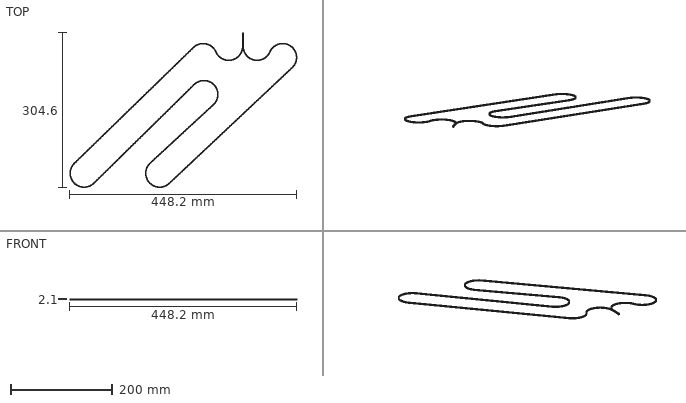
import cadquery as cq
import math

strip_width = 1.05
strip_height = 2.1
half_width = strip_width / 2
tail_width = 2 * strip_width

length_x = 448.2
length_y = 304.62

bend_radius = 27.5
outer_radius = bend_radius + half_width

tail_length = 26.1
crest_drop = 21.8
tail_top = length_y / 2
trough_y = tail_top - tail_length
crest_y = trough_y - crest_drop
crest_step = math.sqrt((2 * bend_radius) ** 2 - crest_drop**2)
trough_offset = bend_radius + half_width
crest_offset = trough_offset + crest_step
tail_x = length_x / 2 - outer_radius - crest_offset

finger_pitch = 149.25
finger_end_y = outer_radius - length_y / 2
left_finger_x = outer_radius - length_x / 2
right_finger_x = left_finger_x + finger_pitch
inner_bend_x = 40.65
inner_bend_y = 31.4

CLOCKWISE = -1
COUNTERCLOCKWISE = 1

right_trough = ((tail_x + trough_offset, trough_y), COUNTERCLOCKWISE)
right_crest = ((tail_x + crest_offset, crest_y), CLOCKWISE)
right_finger_end = ((right_finger_x, finger_end_y), CLOCKWISE)
inner_bend = ((inner_bend_x, inner_bend_y), COUNTERCLOCKWISE)
left_finger_end = ((left_finger_x, finger_end_y), CLOCKWISE)
left_crest = ((tail_x - crest_offset, crest_y), CLOCKWISE)
left_trough = ((tail_x - trough_offset, trough_y), COUNTERCLOCKWISE)

straight_joined_bends = [right_crest, right_finger_end, inner_bend, left_finger_end, left_crest]
bends = [right_trough] + straight_joined_bends + [left_trough]


def tangent_heading(bend, next_bend):
    """Direction of travel along the line tangent to two successive bends."""
    (x, y), turn = bend
    (next_x, next_y), next_turn = next_bend
    distance = math.hypot(next_x - x, next_y - y)
    sine = bend_radius * (turn - next_turn) / distance
    lean = math.asin(max(-1.0, min(1.0, sine)))
    return math.atan2(next_y - y, next_x - x) + lean


def point_on_bend(bend, heading, left_offset):
    """Point where travel round the bend has this heading, moved sideways to the left."""
    (x, y), turn = bend
    reach = turn * bend_radius - left_offset
    return (x + reach * math.sin(heading), y - reach * math.cos(heading))


def strip_sketch():
    """Workplane on the underside of the strip."""
    return cq.Workplane("XY").workplane(offset=-strip_height / 2)


def curved_strip(bend, entry, leaving):
    """Strip around one bend, between its entry and leaving headings."""
    turn = bend[1]
    sweep = turn * ((turn * (leaving - entry)) % (2 * math.pi))
    middle = entry + sweep / 2
    left = [point_on_bend(bend, heading, half_width) for heading in (entry, middle, leaving)]
    right = [point_on_bend(bend, heading, -half_width) for heading in (leaving, middle, entry)]
    return (
        strip_sketch()
        .moveTo(*left[0])
        .threePointArc(left[1], left[2])
        .lineTo(*right[0])
        .threePointArc(right[1], right[2])
        .close()
        .extrude(strip_height)
    )


def straight_strip(bend, next_bend):
    """Strip along the tangent line from one bend to the next."""
    heading = tangent_heading(bend, next_bend)
    corners = [
        point_on_bend(bend, heading, half_width),
        point_on_bend(next_bend, heading, half_width),
        point_on_bend(next_bend, heading, -half_width),
        point_on_bend(bend, heading, -half_width),
    ]
    return strip_sketch().polyline(corners).close().extrude(strip_height)


def tail():
    """Straight double-width tail above the S-bends."""
    middle_y = tail_top - tail_length / 2
    return strip_sketch().center(tail_x, middle_y).rect(tail_width, tail_length).extrude(strip_height)


heading_down = -math.pi / 2
heading_up = math.pi / 2
headings_between = [tangent_heading(a, b) for a, b in zip(bends, bends[1:])]
entry_headings = [heading_down] + headings_between
leaving_headings = headings_between + [heading_up]

result = tail()
for bend, entry, leaving in zip(bends, entry_headings, leaving_headings):
    result = result.union(curved_strip(bend, entry, leaving))
for bend, next_bend in zip(straight_joined_bends, straight_joined_bends[1:]):
    result = result.union(straight_strip(bend, next_bend))